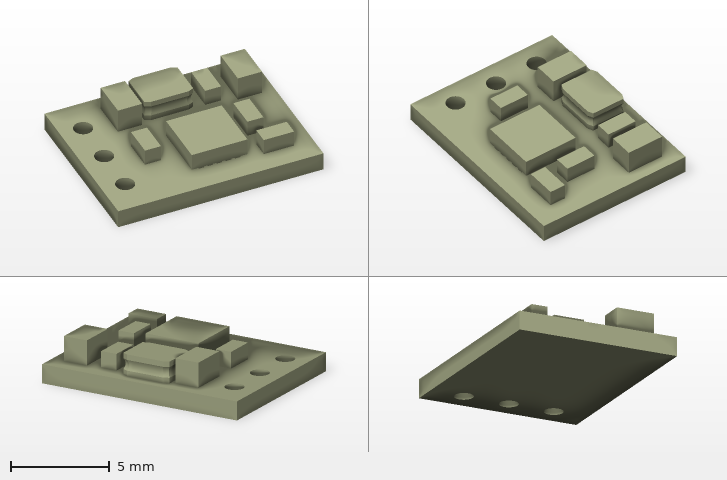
import cadquery as cq

BOARD_X = 8.89
BOARD_Y = 11.43
BOARD_THICKNESS = 1.02

HOLE_DIAMETER = 1.02
HOLE_PITCH = 2.54
HOLE_COUNT = 3
HOLE_ROW_Y = -BOARD_Y / 2 + HOLE_PITCH / 2

LARGE_LENGTH = 2.08
LARGE_WIDTH = 1.35
SMALL_LENGTH = 1.69
SMALL_WIDTH = 0.89
LARGE_CENTERS = [(-2.45, 4.32), (-2.57, -2.3)]
SMALL_CENTERS = [(-2.55, 2.41), (0.66, 3.28), (0.66, -2.42)]
UPRIGHT_SMALL_CENTER = (2.79, 3.8)

IC_CENTER = (1.41, 0.62)
IC_SIDE = 3.1
IC_TOP = 1.0
IC_STANDOFF = 0.06
PAD_LENGTH = 0.4
PAD_WIDTH = 0.3
PAD_PITCH = 0.5
PADS_PER_ROW = 5

INDUCTOR_CENTER = (-2.79, 0)
INDUCTOR_X = 2.17
INDUCTOR_Y = 2.72
CORNER_CUT_X = 0.14
CORNER_CUT_Y = 0.3
FLANGE_THICKNESS = 0.3
WAIST_HEIGHT = 0.57
WAIST_RATIO = 0.93


def box_on_board(center, size_x, size_y, height, lift=0):
    """Upright box whose base is the given lift above the board's top face."""
    box = cq.Workplane("XY").box(size_x, size_y, height, centered=(True, True, False))
    return box.translate((center[0], center[1], BOARD_THICKNESS + lift))


def centered_offsets(count, pitch):
    """Evenly spaced positions, symmetric about zero."""
    return [(i - (count - 1) / 2) * pitch for i in range(count)]


def make_board():
    """Rectangular board with its row of through holes."""
    board = cq.Workplane("XY").box(BOARD_X, BOARD_Y, BOARD_THICKNESS, centered=(True, True, False))
    hole_points = [(x, HOLE_ROW_Y) for x in centered_offsets(HOLE_COUNT, HOLE_PITCH)]
    holes = (
        cq.Workplane("XY")
        .pushPoints(hole_points)
        .circle(HOLE_DIAMETER / 2)
        .extrude(BOARD_THICKNESS)
    )
    return board.cut(holes)


def make_ic():
    """IC body raised on pads that lie flush with its -X and +X sides."""
    ic = box_on_board(IC_CENTER, IC_SIDE, IC_SIDE, IC_TOP - IC_STANDOFF, IC_STANDOFF)
    row_offset = (IC_SIDE - PAD_LENGTH) / 2
    for row_x in (-row_offset, row_offset):
        for pad_y in centered_offsets(PADS_PER_ROW, PAD_PITCH):
            pad_center = (IC_CENTER[0] + row_x, IC_CENTER[1] + pad_y)
            ic = ic.union(box_on_board(pad_center, PAD_LENGTH, PAD_WIDTH, IC_STANDOFF))
    return ic


def inductor_outline(ratio=1.0):
    """Corner points of the cut-corner rectangle, scaled about its centre."""
    outer_x = INDUCTOR_X / 2 * ratio
    outer_y = INDUCTOR_Y / 2 * ratio
    inner_x = outer_x - CORNER_CUT_X * ratio
    inner_y = outer_y - CORNER_CUT_Y * ratio
    return [
        (outer_x, -inner_y),
        (outer_x, inner_y),
        (inner_x, outer_y),
        (-inner_x, outer_y),
        (-outer_x, inner_y),
        (-outer_x, -inner_y),
        (-inner_x, -outer_y),
        (inner_x, -outer_y),
    ]


def make_inductor():
    """Two flanges joined by a waist that curves smoothly inwards at mid-height."""
    flange = cq.Workplane("XY").polyline(inductor_outline()).close().extrude(FLANGE_THICKNESS)
    waist = (
        cq.Workplane("XY", origin=(0, 0, FLANGE_THICKNESS))
        .polyline(inductor_outline())
        .close()
        .workplane(offset=WAIST_HEIGHT / 2)
        .polyline(inductor_outline(WAIST_RATIO))
        .close()
        .workplane(offset=WAIST_HEIGHT / 2)
        .polyline(inductor_outline())
        .close()
        .loft()
    )
    top_flange = flange.translate((0, 0, FLANGE_THICKNESS + WAIST_HEIGHT))
    inductor = flange.union(waist).union(top_flange)
    return inductor.translate((INDUCTOR_CENTER[0], INDUCTOR_CENTER[1], BOARD_THICKNESS))


result = make_board().union(make_ic()).union(make_inductor())

for large_center in LARGE_CENTERS:
    result = result.union(box_on_board(large_center, LARGE_LENGTH, LARGE_WIDTH, LARGE_WIDTH))

for small_center in SMALL_CENTERS:
    result = result.union(box_on_board(small_center, SMALL_LENGTH, SMALL_WIDTH, SMALL_WIDTH))

result = result.union(box_on_board(UPRIGHT_SMALL_CENTER, SMALL_WIDTH, SMALL_LENGTH, SMALL_WIDTH))